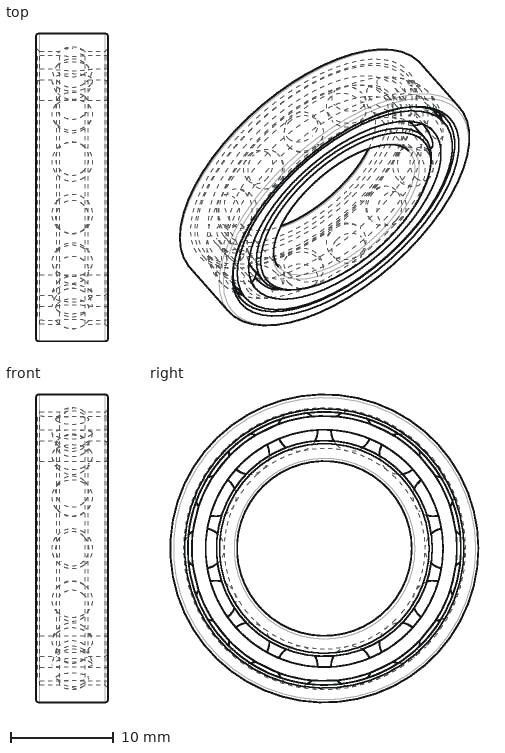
import cadquery as cq
import math

outer_radius = 15.0
bore_radius = 8.5
width = 7.02
edge_fillet = 0.3

outer_land_radius = 13.3
inner_land_radius = 10.5
land_chamfer = 0.3

pitch_radius = (bore_radius + outer_radius) / 2
ball_radius = 1.98
ball_count = 14

cage_outer_radius = 12.9
cage_inner_radius = 11.55
cage_recess = 0.15
cage_width = width - 2 * cage_recess


def plain_ring(outer, inner, length):
    """Straight ring around X, centred lengthwise on the origin."""
    return cq.Workplane("YZ", origin=(-length / 2, 0, 0)).circle(outer).circle(inner).extrude(length)


def end_rims(ring, rim_radius):
    """The two circular end edges of a ring that have the given radius."""
    return ring.edges("%CIRCLE").filter(lambda edge: math.isclose(edge.radius(), rim_radius))


def raceway():
    """Torus swept by a ball running around the axis."""
    center = cq.Vector(0, 0, 0)
    axis = cq.Vector(1, 0, 0)
    return cq.Workplane(cq.Solid.makeTorus(pitch_radius, ball_radius, center, axis))


def bearing_ring(outer, inner, rounded_radius, land_radius):
    """Ring with a rounded mounting surface, a chamfered land and a ball groove."""
    ring = plain_ring(outer, inner, width)
    ring = end_rims(ring, rounded_radius).fillet(edge_fillet)
    ring = end_rims(ring, land_radius).chamfer(land_chamfer)
    return ring.cut(raceway())


def ball_cage():
    """Cage ring with the balls joined to it."""
    cage = plain_ring(cage_outer_radius, cage_inner_radius, cage_width)
    first_ball = cq.Workplane("YZ").sphere(ball_radius).translate((0, pitch_radius, 0))
    ball_spacing = 360 / ball_count
    for index in range(ball_count):
        cage = cage.union(first_ball.rotate((0, 0, 0), (1, 0, 0), index * ball_spacing))
    return cage


outer_ring = bearing_ring(outer_radius, outer_land_radius, outer_radius, outer_land_radius)
inner_ring = bearing_ring(inner_land_radius, bore_radius, bore_radius, inner_land_radius)
cage_with_balls = ball_cage()

result = cq.Compound.makeCompound([
    outer_ring.solids().val(),
    inner_ring.solids().val(),
    cage_with_balls.solids().val(),
])